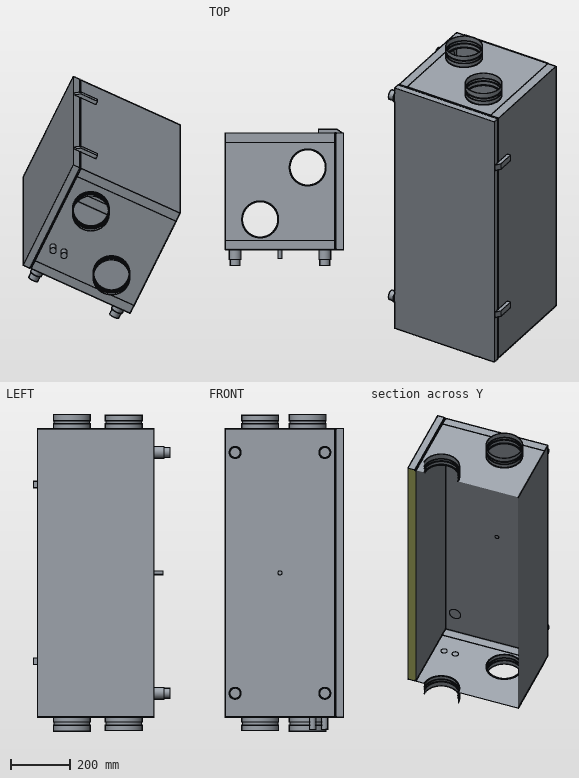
import cadquery as cq


casing_width = 372.0
casing_depth = 395.0
outer_height = 977.0
sheet = 1.0
edge_round = 2.0

plate_margin = 32.0
plate_thickness = 1.0
casing_height = outer_height - 2 * plate_thickness

front_spigot = (119.0, 103.0, 45.0)
rear_spigot = (280.0, 278.0, 47.0)
spigots = [front_spigot, rear_spigot]
spigot_diameter = 125.0
spigot_radius = spigot_diameter / 2
spigot_wall = 1.0
bead_start = 16.0
bead_width = 10.0
bead_depth = 2.0
bore_radius = spigot_radius - spigot_wall - bead_depth

drain_xs = [297.0, 337.0]
drain_y = front_spigot[1]
drain_diameter = 21.0
drain_length = 41.0

foot_inset_x = 34.0
foot_z = 407.0
foot_diameter = 41.0
foot_length = 33.0
foot_tip_diameter = 34.0
foot_tip_length = 20.0
pin_diameter = 14.0
pin_length = 30.0

door_thickness = 25.0
door_gap = 4.0
door_left = casing_width + door_gap
gasket_inset = 3.0

latch_thickness = 13.0
latch_height = 22.0
latch_z = 299.0
latch_left = 316.0
latch_slope_start = 378.0
latch_right = 397.0


def front_cylinder(x, z, start_y, diameter, length):
    """Cylinder that points forward from the plane y = start_y."""
    plane = cq.Plane(origin=(x, start_y, z), xDir=(1, 0, 0), normal=(0, -1, 0))
    return cq.Workplane(plane).circle(diameter / 2).extrude(length)


def make_foot(x, z):
    """Stepped foot on the front face."""
    base = front_cylinder(x, z, 0, foot_diameter, foot_length)
    tip = front_cylinder(x, z, -foot_length, foot_tip_diameter, foot_tip_length)
    return base.union(tip)


def make_casing():
    """Hollow casing with rounded front and left edges, duct openings, feet and pin."""
    casing = cq.Workplane("XY").box(casing_width, casing_depth, casing_height, centered=(False, False, True))
    front_edges = casing.faces("<Y").edges("not >X")
    left_edges = casing.faces("<X").edges("not >Y")
    casing = front_edges.add(left_edges).fillet(edge_round)

    cavity = (
        cq.Workplane("XY")
        .box(
            casing_width - 2 * sheet,
            casing_depth - 2 * sheet,
            casing_height - 2 * sheet,
            centered=(False, False, True),
        )
        .translate((sheet, sheet, 0))
    )
    casing = casing.cut(cavity)
    for x, y, _ in spigots:
        opening = cq.Workplane("XY").center(x, y).circle(bore_radius).extrude(casing_height / 2, both=True)
        casing = casing.cut(opening)

    for x in (foot_inset_x, casing_width - foot_inset_x):
        for z in (-foot_z, foot_z):
            casing = casing.union(make_foot(x, z))
    return casing.union(front_cylinder(casing_width / 2, 0, 0, pin_diameter, pin_length))


def make_spigot(x, y, height):
    """Thin round spigot standing on z = 0, with a bead rolled into its wall."""
    bead_end = bead_start + bead_width
    outer = cq.Workplane("XY").circle(spigot_radius).extrude(height)
    groove = (
        cq.Workplane("XY", origin=(0, 0, bead_start))
        .circle(spigot_radius)
        .circle(spigot_radius - bead_depth)
        .extrude(bead_width)
    )
    inner_radius = spigot_radius - spigot_wall
    lower_bore = cq.Workplane("XY").circle(inner_radius).extrude(bead_start - spigot_wall)
    bead_bore = cq.Workplane("XY").circle(bore_radius).extrude(height)
    upper_start = bead_end + spigot_wall
    upper_bore = cq.Workplane("XY", origin=(0, 0, upper_start)).circle(inner_radius).extrude(height - upper_start)
    spigot = outer.cut(groove).cut(lower_bore).cut(bead_bore).cut(upper_bore)
    return spigot.translate((x, y, 0))


def make_top_plate():
    """Cover plate with its two spigots, on top of the casing."""
    plate = (
        cq.Workplane("XY", origin=(0, plate_margin, -plate_thickness))
        .rect(casing_width, casing_depth - 2 * plate_margin, centered=False)
        .extrude(plate_thickness)
    )
    for x, y, height in spigots:
        opening = cq.Workplane("XY").center(x, y).circle(bore_radius).extrude(-plate_thickness)
        plate = plate.cut(opening).union(make_spigot(x, y, height))
    return plate.translate((0, 0, outer_height / 2))


def make_bottom_plate():
    """Mirror image of the top plate, with the drain pipes added."""
    plate = make_top_plate().mirror("XY")
    for x in drain_xs:
        drain = (
            cq.Workplane("XY", origin=(x, drain_y, -outer_height / 2))
            .circle(drain_diameter / 2)
            .extrude(-drain_length)
        )
        plate = plate.union(drain)
    return plate


def make_door():
    """Door panel with the gasket that closes the gap to the casing."""
    panel = (
        cq.Workplane("XY")
        .box(door_thickness, casing_depth, outer_height, centered=(False, False, True))
        .translate((door_left, 0, 0))
    )
    gasket = (
        cq.Workplane("XY")
        .box(
            door_gap,
            casing_depth - 2 * gasket_inset,
            outer_height - 2 * gasket_inset,
            centered=(False, False, True),
        )
        .translate((casing_width, gasket_inset, 0))
    )
    return panel.union(gasket)


def make_latch(z):
    """Latch bar on the rear side, sloping down to the door."""
    rear = casing_depth + latch_thickness
    return (
        cq.Workplane("XY", origin=(0, 0, z - latch_height / 2))
        .polyline([
            (latch_left, casing_depth),
            (latch_left, rear),
            (latch_slope_start, rear),
            (latch_right, casing_depth),
        ])
        .close()
        .extrude(latch_height)
    )


casing = make_casing()
top_plate = make_top_plate()
bottom_plate = make_bottom_plate()
door = make_door()
latches = [make_latch(z) for z in (-latch_z, latch_z)]

result = cq.Compound.makeCompound([
    casing.solids().val(),
    top_plate.solids().val(),
    bottom_plate.solids().val(),
    door.solids().val(),
    *[latch.val() for latch in latches],
])